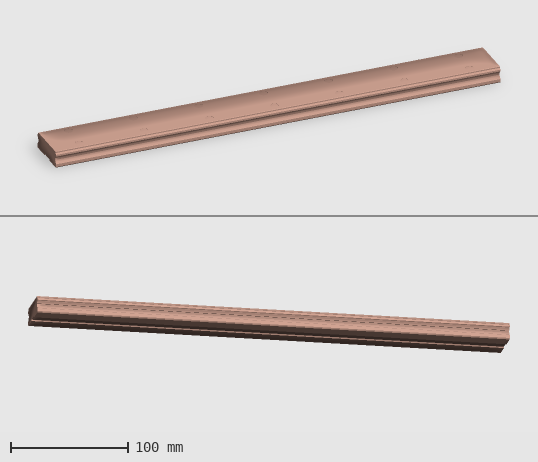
import cadquery as cq

length = 410.0

step_width = 38.0
step_height = 1.48
top_chamfer = 0.5
ledge_width = 1.93
ledge_z = 13.5
ledge_drop = 1.0

width = step_width + 2 * ledge_width
height = ledge_z + step_height

groove_axis_z = 7.5
lip_half_height = 3.5
land_depth = 1.0
land_half_height = 3.2
track_start_depth = 1.2
track_start_half_height = 2.62
track_end_depth = 2.25
track_end_half_height = 1.0
track_sagitta = 0.12
relief_depth = 3.08

bottom_chamfer = 1.02
channel_width = 11.0
channel_depth = 1.2

hole_radius = 3.75
hole_depth = 0.2
hole_row_spacing = 24.0
holes_per_row = 7
end_margin = 25.0
hole_pitch = (length - 2 * end_margin) / (holes_per_row - 1)


def track_middle():
    """Depth and height offset of the middle of the concave ball track."""
    run = track_end_depth - track_start_depth
    drop = track_start_half_height - track_end_half_height
    chord = (run**2 + drop**2) ** 0.5
    depth = (track_start_depth + track_end_depth) / 2 + track_sagitta * drop / chord
    offset = (track_start_half_height + track_end_half_height) / 2 + track_sagitta * run / chord
    return depth, offset


def half_section():
    """Section of the half of the rail on the positive X side."""
    side_x = width / 2
    step_x = step_width / 2

    def groove_point(depth, offset):
        return side_x - depth, groove_axis_z + offset

    middle_depth, middle_offset = track_middle()
    return (
        cq.Workplane("XZ")
        .moveTo(0, height)
        .lineTo(step_x - top_chamfer, height)
        .lineTo(step_x, height - top_chamfer)
        .lineTo(step_x, ledge_z)
        .lineTo(side_x, ledge_z - ledge_drop)
        .lineTo(*groove_point(0, lip_half_height))
        .lineTo(*groove_point(land_depth, land_half_height))
        .lineTo(*groove_point(track_start_depth, track_start_half_height))
        .threePointArc(
            groove_point(middle_depth, middle_offset),
            groove_point(track_end_depth, track_end_half_height),
        )
        .lineTo(*groove_point(relief_depth, track_end_half_height))
        .lineTo(*groove_point(relief_depth, -track_end_half_height))
        .lineTo(*groove_point(track_end_depth, -track_end_half_height))
        .threePointArc(
            groove_point(middle_depth, -middle_offset),
            groove_point(track_start_depth, -track_start_half_height),
        )
        .lineTo(*groove_point(land_depth, -land_half_height))
        .lineTo(*groove_point(0, -lip_half_height))
        .lineTo(side_x, bottom_chamfer)
        .lineTo(side_x - bottom_chamfer, 0)
        .lineTo(channel_width / 2, 0)
        .lineTo(channel_width / 2, channel_depth)
        .lineTo(0, channel_depth)
        .close()
    )


def rail_body():
    """The two mirrored halves of the extruded section, joined."""
    half = half_section().extrude(length / 2, both=True)
    return half.union(half.mirror("YZ")).clean()


def hole_recesses():
    """Cutters for the recesses in the top face."""
    return (
        cq.Workplane("XY", origin=(0, 0, height))
        .rarray(hole_row_spacing, hole_pitch, 2, holes_per_row)
        .circle(hole_radius)
        .extrude(-hole_depth)
    )


result = rail_body().cut(hole_recesses())